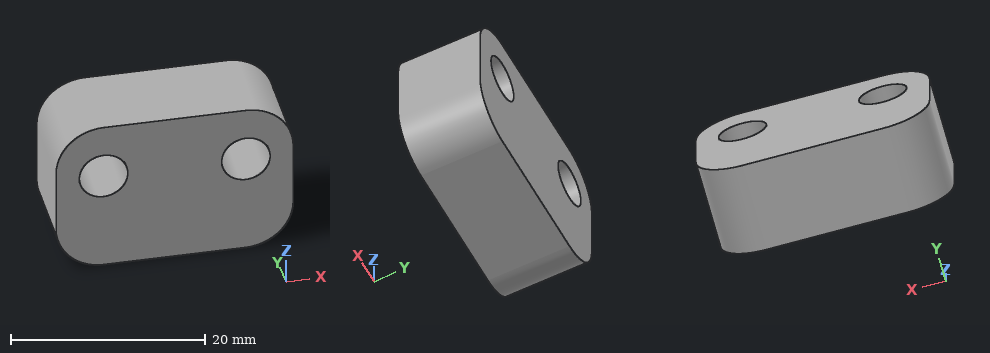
import cadquery as cq

width = 25.0
depth = 9.5
height = 17.0
corner_radius = 5.0
hole_diameter = 5.1
hole_spacing = width - 2 * corner_radius
hole_drop = 6.0

hole_z = height / 2 - hole_drop

block = cq.Workplane("XY").box(width, depth, height).edges("|Y").fillet(corner_radius)

hole_centers = [(-hole_spacing / 2, hole_z), (hole_spacing / 2, hole_z)]
holes = (
    cq.Workplane("XZ")
    .pushPoints(hole_centers)
    .circle(hole_diameter / 2)
    .extrude(depth, both=True)
)

result = block.cut(holes)